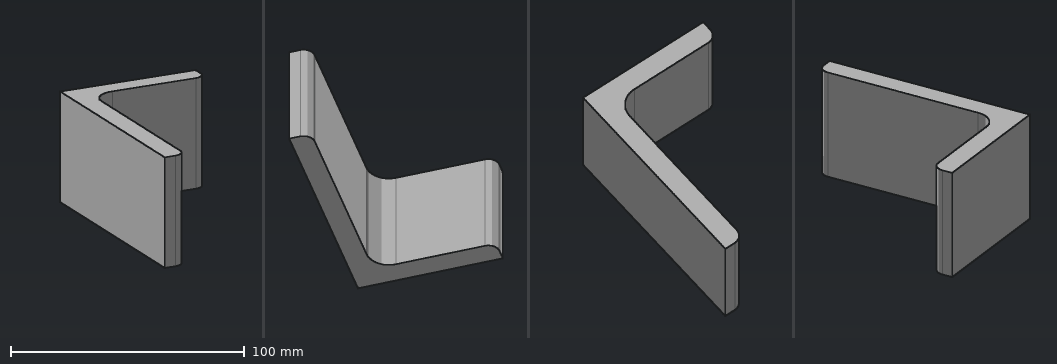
import cadquery as cq

long_leg = 100.0
short_leg = 65.0
thickness = 10.0
length = 50.0
root_radius = 10.0
toe_radius = thickness / 2

profile = (
    cq.Workplane("XY")
    .polyline([
        (0, 0),
        (long_leg, 0),
        (long_leg, thickness),
        (thickness, thickness),
        (thickness, short_leg),
        (0, short_leg),
    ])
    .close()
)
angle = profile.extrude(length)


def round_edge(body, x, y, radius):
    """Round the vertical edge nearest to the given profile corner."""
    corner_edge = cq.selectors.NearestToPointSelector((x, y, length / 2))
    return body.edges("|Z").edges(corner_edge).fillet(radius)


angle = round_edge(angle, thickness, thickness, root_radius)
angle = round_edge(angle, long_leg, thickness, toe_radius)
angle = round_edge(angle, thickness, short_leg, toe_radius)

result = angle